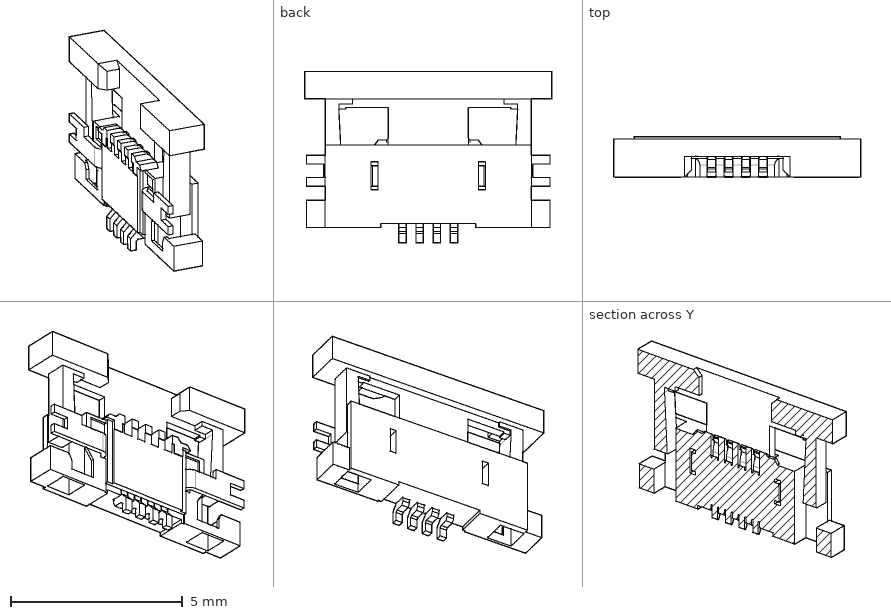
import cadquery as cq


EMBED = 0.05

SLIDER_TOP = 5.0
BAR_HALF_WIDTH = 3.6
BAR_HEIGHT = 0.8
BAR_BOTTOM = SLIDER_TOP - BAR_HEIGHT
BAR_FRONT = 0.02
BAR_BACK = 1.13
BAR_OPENING = 1.535
LUG_LENGTH = 0.2
LUG_CHAMFER = 0.2
TONGUE_HALF_WIDTH = 1.165
TONGUE_FRONT = 0.62
TONGUE_BACK = 0.88
TONGUE_BOTTOM = 1.9
WEB_BOTTOM = 3.945
WEB_HALF_WIDTH = 2.4
ARM_OUTER = 3.0
ARM_INNER_TOP = 2.6
ARM_INNER_BOTTOM = 2.5
ARM_BOTTOM = 1.9
ARM_FRONT = 0.285
ARM_BACK = 0.94
ARM_ROOT_BOTTOM = 4.05
ARM_ROOT_INNER = 2.21
CORNER_BOTTOM = 3.9

BODY_HALF_WIDTH = 2.2
BODY_FRONT = 0.18
MIDDLE_FRONT = 0.22
BODY_BOTTOM = 0.45
BODY_TOP = 2.855
PLATE_HALF_WIDTH = 3.0
PLATE_FRONT = 1.0
PLATE_BACK = 1.2
WING_OUTER = 3.55
WING_INNER = PLATE_HALF_WIDTH
WING_LIP_INNER = 2.75
WING_TOP = 1.25
WING_BACK = 1.095
WING_LIP_CHAMFER_X = 0.1
WING_LIP_CHAMFER_Z = 0.19
LEDGE_TOP = 0.757
RELIEF_DEPTH = 0.09
RELIEF_INNER = 1.945
RELIEF_SLOPE_BOTTOM = 1.365
RELIEF_TOP = 1.71
BASE_NOTCH_HALF_WIDTH = 1.38
BASE_NOTCH_TOP = 0.565
SLOT_HALF_WIDTH = 1.21
SLOT_BACK = 0.97
WINDOW_OUTER = 1.665
WINDOW_BOTTOM = 1.555
WINDOW_TOP = 2.36
DIMPLE_OUTER = 2.03
DIMPLE_TOP = 2.75
DIMPLE_DEPTH = 0.08

CROWN_FRONT = 0.02
CROWN_BACK = 0.565
CROWN_TOP = 3.135
CROWN_SHOULDER = 3.005
CROWN_ROUND = 0.2
CROWN_TOP_HALF_WIDTH = 1.09
CROWN_SHOULDER_INNER = 1.21
CROWN_SHOULDER_OUTER = 1.455
CROWN_BASE_HALF_WIDTH = 1.567
CROWN_FOOT_BOTTOM = 2.56
CROWN_FOOT_INNER = 0.97

COVER_HALF_WIDTH = 1.47
COVER_FRONT = 0.115
PANEL_HALF_WIDTH = 1.275
PANEL_FRONT = 0.04

CLIP_THICKNESS = 0.15
CLIP_OUTER = WING_OUTER
CLIP_TOP = 2.56
CLIP_BOTTOM = 1.645
CLIP_NECK_TOP = 2.255
CLIP_NECK_END = 2.505
PRONG_WIDTH = 0.265
PRONG_NOTCH_END = 3.05
BEND_RADIUS = 0.26
CLIP_LEG_BACK = 0.7

CONTACT_COUNT = 4
CONTACT_PITCH = 0.5
CONTACT_WIDTH = 0.22
CONTACT_SLOT_WIDTH = 0.265
CONTACT_SLOT_FLOOR = 2.3
SLOT_WALL_BACK = 0.165
BUMP_TOP = 2.55
BUMP_TOP_FRONT = 0.26
BUMP_TOP_BACK = 0.305
BUMP_FRONT_HEIGHT = 0.05
BUMP_BACK_HEIGHT = 0.2
FINGER_FRONT = 0.525
FINGER_TIP_HEIGHT = 0.04
FINGER_GROOVE_Y = 0.59
FINGER_GROOVE_Z = 2.79
FINGER_GROOVE_BOTTOM = 2.5
TAIL_THICKNESS = 0.18
TAIL_BACK = 0.577
TAIL_UNDERSIDE = 0.335
TAIL_CHAMFER = 0.065
TAIL_INNER_CORNER = 0.055
TAIL_BEND = 0.4


def box(x0, x1, y0, y1, z0, z1):
    """Box between two opposite corners."""
    return cq.Workplane("XY").box(x1 - x0, y1 - y0, z1 - z0, centered=False).translate((x0, y0, z0))


def centred_box(half_width, y0, y1, z0, z1):
    """Box symmetric about X = 0."""
    return box(-half_width, half_width, y0, y1, z0, z1)


def front_prism(points, y0, y1):
    """Prism with an (X, Z) outline, running from y0 to y1."""
    return cq.Workplane("XZ").polyline(points).close().extrude(y0 - y1).translate((0, y0, 0))


def side_prism(points, x_centre, width):
    """Prism with a (Y, Z) outline, centred on x_centre."""
    prism = cq.Workplane("YZ").polyline(points).close().extrude(width / 2, both=True)
    return prism.translate((x_centre, 0, 0))


def with_mirror(shape):
    """The shape together with its mirror image about X = 0."""
    return shape.union(shape.mirror("YZ"))


def slider_lug():
    """Tapered lug on the inner end of one front part of the bar."""
    inner = BAR_OPENING - LUG_LENGTH
    outline = [
        (BAR_OPENING, BAR_BOTTOM),
        (BAR_OPENING, SLIDER_TOP),
        (inner, SLIDER_TOP - LUG_LENGTH),
        (inner, BAR_BOTTOM),
    ]
    lug = front_prism(outline, BAR_FRONT, TONGUE_FRONT)
    corner = [(BAR_OPENING, BAR_FRONT), (inner, BAR_FRONT), (inner, BAR_FRONT + LUG_CHAMFER)]
    chamfer = cq.Workplane("XY").polyline(corner).close().extrude(SLIDER_TOP)
    return lug.cut(chamfer)


def slider_arm():
    """Side arm with a slightly tapered inner edge and a wider root."""
    outline = [
        (ARM_OUTER, ARM_BOTTOM),
        (ARM_OUTER, BAR_BOTTOM),
        (ARM_ROOT_INNER, BAR_BOTTOM),
        (ARM_ROOT_INNER, ARM_ROOT_BOTTOM),
        (ARM_INNER_TOP, ARM_ROOT_BOTTOM),
        (ARM_INNER_TOP, CORNER_BOTTOM),
        (ARM_INNER_BOTTOM, ARM_BOTTOM),
    ]
    return front_prism(outline, ARM_FRONT, ARM_BACK)


def make_slider():
    bar = centred_box(BAR_HALF_WIDTH, BAR_FRONT, BAR_BACK, BAR_BOTTOM, SLIDER_TOP)
    bar = bar.cut(centred_box(BAR_OPENING, BAR_FRONT, TONGUE_FRONT, BAR_BOTTOM, SLIDER_TOP))
    web = centred_box(ARM_INNER_TOP, TONGUE_FRONT, TONGUE_BACK, WEB_BOTTOM, BAR_BOTTOM)
    corner = box(WEB_HALF_WIDTH, ARM_INNER_TOP, TONGUE_FRONT, TONGUE_BACK, CORNER_BOTTOM, BAR_BOTTOM)
    tongue = centred_box(TONGUE_HALF_WIDTH, TONGUE_FRONT, TONGUE_BACK, TONGUE_BOTTOM, BAR_BOTTOM)
    sides = slider_arm().union(slider_lug()).union(corner)
    return bar.union(web).union(tongue).union(with_mirror(sides))


def wing():
    """Foot beside the body, with a thin front lip and a ledge tying it to the body."""
    back = BODY_FRONT + RELIEF_DEPTH
    lip_outline = [
        (WING_INNER, BODY_BOTTOM),
        (WING_INNER, WING_TOP),
        (WING_LIP_INNER + WING_LIP_CHAMFER_X, WING_TOP),
        (WING_LIP_INNER, WING_TOP - WING_LIP_CHAMFER_Z),
        (WING_LIP_INNER, BODY_BOTTOM),
    ]
    block = box(WING_INNER, WING_OUTER, BODY_FRONT, WING_BACK, BODY_BOTTOM, WING_TOP)
    lip = front_prism(lip_outline, BODY_FRONT, back)
    ledge = box(RELIEF_INNER, WING_LIP_INNER, BODY_FRONT, back, BODY_BOTTOM, LEDGE_TOP)
    return block.union(lip).union(ledge)


def side_relief():
    """Shallow relief at the outer edge of the body front."""
    outline = [
        (RELIEF_INNER, LEDGE_TOP),
        (RELIEF_INNER, RELIEF_SLOPE_BOTTOM),
        (BODY_HALF_WIDTH, RELIEF_TOP),
        (BODY_HALF_WIDTH, LEDGE_TOP),
    ]
    return front_prism(outline, BODY_FRONT, BODY_FRONT + RELIEF_DEPTH)


def make_housing():
    body = centred_box(BODY_HALF_WIDTH, BODY_FRONT, PLATE_BACK, BODY_BOTTOM, BODY_TOP)
    plate = centred_box(PLATE_HALF_WIDTH, PLATE_FRONT, PLATE_BACK, BODY_BOTTOM, BODY_TOP)
    window = box(COVER_HALF_WIDTH, WINDOW_OUTER, BODY_FRONT, PLATE_BACK, WINDOW_BOTTOM, WINDOW_TOP)
    dimple = box(
        COVER_HALF_WIDTH, DIMPLE_OUTER, BODY_FRONT, BODY_FRONT + DIMPLE_DEPTH, WINDOW_TOP, DIMPLE_TOP
    )
    base_notch = centred_box(BASE_NOTCH_HALF_WIDTH, BODY_FRONT, PLATE_BACK, BODY_BOTTOM, BASE_NOTCH_TOP)
    set_back = centred_box(COVER_HALF_WIDTH, BODY_FRONT, MIDDLE_FRONT, BODY_BOTTOM, BODY_TOP)
    housing = body.cut(set_back).union(plate).union(with_mirror(wing()))
    housing = housing.cut(with_mirror(window)).cut(with_mirror(dimple))
    housing = housing.cut(with_mirror(side_relief())).cut(base_notch).union(make_crown())
    return housing.cut(centred_box(SLOT_HALF_WIDTH, TONGUE_FRONT, SLOT_BACK, TONGUE_BOTTOM, CROWN_TOP))


def make_crown():
    """Stepped lip with sloped ends and a rounded back edge."""
    half = [
        (CROWN_TOP_HALF_WIDTH, CROWN_TOP),
        (CROWN_SHOULDER_INNER, CROWN_SHOULDER),
        (CROWN_SHOULDER_OUTER, CROWN_SHOULDER),
        (CROWN_BASE_HALF_WIDTH, BODY_TOP),
    ]
    outline = half + [(-x, z) for x, z in reversed(half)]
    crown = front_prism(outline, CROWN_FRONT, CROWN_BACK)
    round_start = CROWN_BACK - CROWN_ROUND
    round_end = CROWN_TOP - CROWN_ROUND
    back_edge = (
        cq.Workplane("YZ")
        .moveTo(round_start, CROWN_TOP)
        .radiusArc((CROWN_BACK, round_end), CROWN_ROUND)
        .lineTo(CROWN_BACK, CROWN_TOP)
        .close()
        .extrude(SLOT_HALF_WIDTH, both=True)
    )
    foot = box(CROWN_FOOT_INNER, PANEL_HALF_WIDTH, CROWN_FRONT, MIDDLE_FRONT, CROWN_FOOT_BOTTOM, BODY_TOP)
    return crown.cut(back_edge).union(with_mirror(foot))


def make_cover():
    sheet = centred_box(COVER_HALF_WIDTH, COVER_FRONT, MIDDLE_FRONT, LEDGE_TOP, BODY_TOP)
    panel = centred_box(PANEL_HALF_WIDTH, PANEL_FRONT, BODY_FRONT, LEDGE_TOP, BODY_TOP)
    return sheet.union(panel)


def solder_clip():
    """Flat clip with two prongs; its inner end bends back into the window."""
    bend_start = COVER_HALF_WIDTH + BEND_RADIUS
    outline = [
        (bend_start, CLIP_BOTTOM),
        (bend_start, CLIP_NECK_TOP),
        (CLIP_NECK_END, CLIP_NECK_TOP),
        (CLIP_NECK_END, CLIP_TOP),
        (CLIP_OUTER, CLIP_TOP),
        (CLIP_OUTER, CLIP_BOTTOM),
    ]
    notch = box(
        PRONG_NOTCH_END, CLIP_OUTER, 0, CLIP_THICKNESS, CLIP_BOTTOM + PRONG_WIDTH, CLIP_TOP - PRONG_WIDTH
    )
    inner_radius = BEND_RADIUS - CLIP_THICKNESS
    leg_outer = COVER_HALF_WIDTH + CLIP_THICKNESS
    bend = (
        cq.Workplane("XY")
        .moveTo(bend_start, 0)
        .radiusArc((COVER_HALF_WIDTH, BEND_RADIUS), BEND_RADIUS)
        .lineTo(COVER_HALF_WIDTH, CLIP_LEG_BACK)
        .lineTo(leg_outer, CLIP_LEG_BACK)
        .lineTo(leg_outer, BEND_RADIUS)
        .radiusArc((bend_start, CLIP_THICKNESS), -inner_radius)
        .close()
        .extrude(CLIP_NECK_TOP - CLIP_BOTTOM)
        .translate((0, 0, CLIP_BOTTOM))
    )
    return front_prism(outline, 0, CLIP_THICKNESS).cut(notch).union(bend)


def contact_slots(x):
    """Clearance for one contact at the top and bottom of the housing."""
    half = CONTACT_SLOT_WIDTH / 2
    mouth = box(x - half, x + half, CROWN_FRONT, TONGUE_FRONT, CROWN_FOOT_BOTTOM, CROWN_TOP)
    well = box(x - half, x + half, SLOT_WALL_BACK, TONGUE_FRONT, CONTACT_SLOT_FLOOR, CROWN_TOP)
    tail_slot = box(x - half, x + half, MIDDLE_FRONT, TAIL_BACK, BASE_NOTCH_TOP, LEDGE_TOP)
    return mouth.union(well).union(tail_slot)


def contact(x):
    """Spring bump, rear finger and solder tail of one contact."""
    floor = CONTACT_SLOT_FLOOR - EMBED
    root = LEDGE_TOP + EMBED
    bump = [
        (SLOT_WALL_BACK, floor),
        (SLOT_WALL_BACK, BUMP_TOP - BUMP_FRONT_HEIGHT),
        (BUMP_TOP_FRONT, BUMP_TOP),
        (BUMP_TOP_BACK, BUMP_TOP),
        (FINGER_FRONT, BUMP_TOP - BUMP_BACK_HEIGHT),
        (FINGER_FRONT, floor),
    ]
    finger = [
        (FINGER_FRONT, CROWN_SHOULDER),
        (FINGER_FRONT, CROWN_SHOULDER - FINGER_TIP_HEIGHT),
        (FINGER_GROOVE_Y, FINGER_GROOVE_Z),
        (FINGER_FRONT, FINGER_GROOVE_BOTTOM),
        (FINGER_FRONT, floor),
        (TONGUE_FRONT + EMBED, floor),
        (TONGUE_FRONT + EMBED, CROWN_SHOULDER),
    ]
    tail = [
        (0, 0),
        (0, TAIL_BEND),
        (MIDDLE_FRONT, TAIL_BEND + MIDDLE_FRONT),
        (MIDDLE_FRONT, root),
        (TAIL_BACK, root),
        (TAIL_BACK, BODY_BOTTOM),
        (TAIL_BACK - TAIL_CHAMFER, TAIL_UNDERSIDE),
        (TAIL_THICKNESS + TAIL_INNER_CORNER, TAIL_UNDERSIDE),
        (TAIL_THICKNESS, TAIL_UNDERSIDE - TAIL_INNER_CORNER),
        (TAIL_THICKNESS, 0),
    ]
    shape = side_prism(bump, x, CONTACT_WIDTH)
    return shape.union(side_prism(finger, x, CONTACT_WIDTH)).union(side_prism(tail, x, CONTACT_WIDTH))


contact_positions = [(i - (CONTACT_COUNT - 1) / 2) * CONTACT_PITCH for i in range(CONTACT_COUNT)]

result = make_housing().union(make_cover())
for position in contact_positions:
    result = result.cut(contact_slots(position))
result = result.union(make_slider()).union(with_mirror(solder_clip()))
for position in contact_positions:
    result = result.union(contact(position))